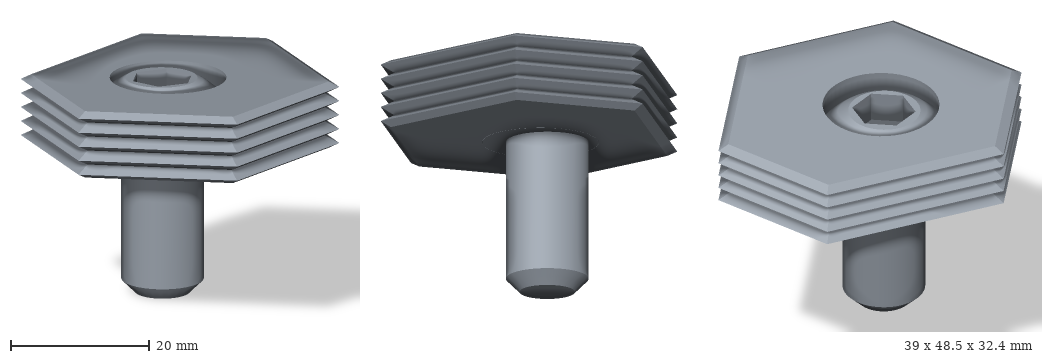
import cadquery as cq
import math


thickness = 10.0
overall_length = 48.5
nearest_side = 18.0
nearest_side_angle = 180.0
side_count = 6
side_turn = 360.0 / side_count
end_sides = (1, 2, 4, 5)
end_side_total = overall_length * 2 * math.sin(math.radians(side_turn))
side_step = (end_side_total - len(end_sides) * nearest_side) / sum(end_sides)

tooth_count = 5
end_land = 0.8
tooth_pitch = (thickness - 2 * end_land) / (tooth_count - 1)
flank_angle = 30.0

head_diameter = 16.8
head_clearance = 0.05
hole_diameter = head_diameter + 2 * head_clearance
shank_diameter = 12.0
shank_length = 22.35
tip_chamfer = 2.0
shank_offset = -1.0

dome_offset = -1.2
dome_radius = 12.0
dome_flat_diameter = 10.45
head_drop = 0.25
socket_sides = 6
socket_across_flats = 8.0
socket_across_corners = socket_across_flats / math.cos(math.pi / socket_sides)
socket_depth = 4.45


def hexagon_points(inset):
    """Corners of the uneven hexagon with every side moved in by the inset."""
    points = []
    for i in range(side_count):
        angle = math.radians(nearest_side_angle + i * side_turn)
        next_angle = angle + math.radians(side_turn)
        distance = nearest_side + i * side_step - inset
        next_distance = nearest_side + (i + 1) % side_count * side_step - inset
        turn_sine = math.sin(next_angle - angle)
        x = (distance * math.sin(next_angle) - next_distance * math.sin(angle)) / turn_sine
        y = (next_distance * math.cos(angle) - distance * math.cos(next_angle)) / turn_sine
        points.append((x, y))
    return points


def tapered_layer(bottom, height, bottom_inset, top_inset):
    """Slice of the washer whose sides slope between the two insets."""
    return (
        cq.Workplane("XY", origin=(0, 0, bottom))
        .polyline(hexagon_points(bottom_inset)).close()
        .workplane(offset=height)
        .polyline(hexagon_points(top_inset)).close()
        .loft(ruled=True, combine=True)
    )


def make_washer():
    """Uneven hexagon with a toothed rim and a round hole."""
    half_pitch = tooth_pitch / 2
    run = 1 / math.tan(math.radians(flank_angle))
    body = None
    for i in range(tooth_count):
        tip = end_land + i * tooth_pitch
        below = end_land if i == 0 else half_pitch
        above = end_land if i == tooth_count - 1 else half_pitch
        lower = tapered_layer(tip - below, below, below * run, 0)
        upper = tapered_layer(tip, above, 0, above * run)
        tooth = lower.union(upper)
        body = tooth if body is None else body.union(tooth)
    hole = cq.Workplane("XY").circle(hole_diameter / 2).extrude(thickness)
    return body.cut(hole)


def make_screw():
    """Eccentric round head with a domed top, on a plain shank with a chamfered tip."""
    head_height = thickness - head_drop
    head = cq.Workplane("XY").circle(head_diameter / 2).extrude(head_height)
    flat_to_centre = math.sqrt(dome_radius**2 - (dome_flat_diameter / 2) ** 2)
    ball_centre = (dome_offset, 0, head_height - flat_to_centre)
    head = head.intersect(cq.Workplane("XY", origin=ball_centre).sphere(dome_radius))
    shank = (
        cq.Workplane("XY", origin=(shank_offset, 0, -shank_length))
        .circle(shank_diameter / 2).extrude(shank_length)
        .faces("<Z").chamfer(tip_chamfer)
    )
    socket = (
        cq.Workplane("XY", origin=(shank_offset, 0, head_height - socket_depth))
        .polygon(socket_sides, socket_across_corners).extrude(socket_depth)
    )
    return head.union(shank).cut(socket)


washer = make_washer()
screw = make_screw()

result = cq.Compound.makeCompound([washer.val(), screw.val()])